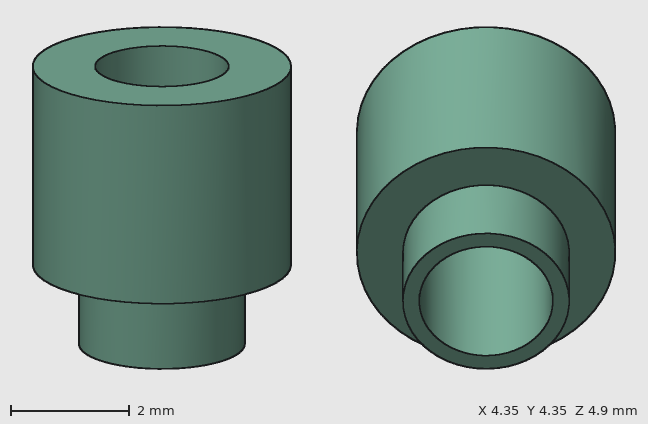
import cadquery as cq

total_height = 4.9
spigot_height = 1.4
body_diameter = 4.35
spigot_diameter = 2.8
bore_diameter = 2.25

body_height = total_height - spigot_height

spigot = cq.Workplane("XY").circle(spigot_diameter / 2).extrude(spigot_height)
bushing = spigot.faces(">Z").workplane().circle(body_diameter / 2).extrude(body_height)

result = bushing.faces(">Z").workplane().hole(bore_diameter)